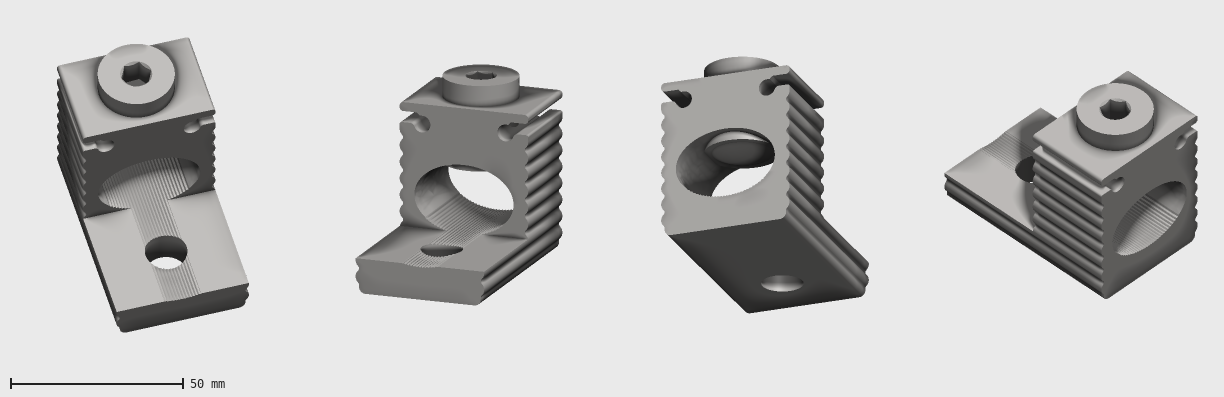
import cadquery as cq
import math

length = 64
width = 40.0
total_height = 54.35
block_length = 28.0
block_top = 48.05
foot_height = 10.5
half_width = width / 2
base_fillet = 2.0

rib_pitch = 5.0
rib_count = 7
rib_radius = 2.5
valley_radius = 0.95

flange_bottom = 45.4
flange_round = 1.1
slot_step_y = 14.65
slot_radius = 2.55
slot_center_y = 13.0
slot_center_z = 42.0
lip_top = slot_center_z
lip_round = 0.65
lip_inner_radius = 1.3

bore_half_width = 15.4
bore_half_height = 10.5
bore_center_z = 20.5
groove_pitch = 0.9
groove_count = 27
groove_depth = 0.25

screw_x = block_length / 2
screw_diameter = 22.45
screw_bottom = 28.4
tip_radius = 8.95
tip_height = 2.0
socket_radius = 4.7
socket_flats = 8.0
socket_depth = 8.0
socket_angle = 3.5

hole_x = 46.1
hole_diameter = 12.4

DIAGONAL = math.sqrt(0.5)


def add_ribs(outline):
    """Continue the outline from the lowest valley up to the middle of the partial top rib."""
    half_pitch = rib_pitch / 2
    center_distance = rib_radius + valley_radius
    center_offset = math.sqrt(center_distance**2 - half_pitch**2)
    rib_center_y = half_width - rib_radius
    valley_y = rib_center_y + center_offset - valley_radius
    joint_y = rib_center_y + center_offset * rib_radius / center_distance
    joint_drop = half_pitch * rib_radius / center_distance
    half_angle = math.asin(half_pitch / center_distance) / 2

    outline = (
        outline.lineTo(valley_y - base_fillet, 0)
        .threePointArc(
            (valley_y - base_fillet * (1 - DIAGONAL), base_fillet * (1 - DIAGONAL)),
            (valley_y, base_fillet),
        )
        .lineTo(valley_y, half_pitch)
    )
    outline = outline.threePointArc(
        (
            valley_y + valley_radius * (1 - math.cos(half_angle)),
            half_pitch + valley_radius * math.sin(half_angle),
        ),
        (joint_y, rib_pitch - joint_drop),
    )
    for rib in range(1, rib_count + 1):
        rib_z = rib * rib_pitch
        outline = outline.threePointArc((half_width, rib_z), (joint_y, rib_z + joint_drop))
        outline = outline.threePointArc(
            (valley_y, rib_z + half_pitch), (joint_y, rib_z + rib_pitch - joint_drop)
        )
    return outline.threePointArc(
        (
            rib_center_y + rib_radius * math.cos(half_angle),
            (rib_count + 1) * rib_pitch - rib_radius * math.sin(half_angle),
        ),
        (half_width, (rib_count + 1) * rib_pitch),
    )


def add_slot_and_flange(outline):
    """Continue the outline over the lip, around the keyhole slot and over the top flange."""
    lip_corner = lip_round * (1 - DIAGONAL)
    touch_distance = slot_radius + lip_inner_radius
    lip_center_z = lip_top - lip_inner_radius
    lip_drop = slot_center_z - lip_center_z
    lip_offset = math.sqrt(touch_distance**2 - lip_drop**2)
    lip_center_y = slot_center_y + lip_offset
    touch_y = slot_center_y + lip_offset * slot_radius / touch_distance
    touch_z = slot_center_z - lip_drop * slot_radius / touch_distance
    half_turn = math.acos(lip_drop / touch_distance) / 2

    slot_top = slot_center_z + slot_radius
    step_height = flange_bottom - slot_top
    flange_corner = flange_round * (1 - DIAGONAL)
    return (
        outline.lineTo(half_width, lip_top - lip_round)
        .threePointArc(
            (half_width - lip_corner, lip_top - lip_corner), (half_width - lip_round, lip_top)
        )
        .lineTo(lip_center_y, lip_top)
        .threePointArc(
            (
                lip_center_y - lip_inner_radius * math.sin(half_turn),
                lip_center_z + lip_inner_radius * math.cos(half_turn),
            ),
            (touch_y, touch_z),
        )
        .threePointArc((slot_center_y - slot_radius, slot_center_z), (slot_center_y, slot_top))
        .lineTo(slot_step_y - step_height, slot_top)
        .lineTo(slot_step_y, flange_bottom)
        .lineTo(half_width - flange_round, flange_bottom)
        .threePointArc(
            (half_width - flange_corner, flange_bottom + flange_corner),
            (half_width, flange_bottom + flange_round),
        )
        .lineTo(half_width, block_top - flange_round)
        .threePointArc(
            (half_width - flange_corner, block_top - flange_corner),
            (half_width - flange_round, block_top),
        )
        .lineTo(0, block_top)
    )


def make_body():
    outline = add_slot_and_flange(add_ribs(cq.Workplane("YZ").moveTo(0, 0)))
    body = outline.mirrorY().extrude(length)
    above_foot = cq.Workplane("XY").box(
        length - block_length, width, block_top - foot_height, centered=(False, True, False)
    )
    return body.cut(above_foot.translate((block_length, 0, foot_height)))


def bore_floor(y):
    """Height of the smooth bore's lower wall at a distance y from the middle plane."""
    return bore_center_z - bore_half_height * math.sqrt(1 - (y / bore_half_width) ** 2)


def make_bore():
    """Oval bore; V grooves of equal width are sunk square to the lower wall."""
    bore = (
        cq.Workplane("YZ")
        .center(0, bore_center_z)
        .ellipse(bore_half_width, bore_half_height)
        .extrude(length)
    )
    start_y = -groove_count * groove_pitch / 2
    grooves = cq.Workplane("YZ").moveTo(start_y, bore_floor(start_y))
    for groove in range(groove_count):
        left_y = start_y + groove * groove_pitch
        right_y = left_y + groove_pitch
        left_z = bore_floor(left_y)
        right_z = bore_floor(right_y)
        chord = math.hypot(groove_pitch, right_z - left_z)
        root_y = (left_y + right_y) / 2 + groove_depth * (right_z - left_z) / chord
        root_z = (left_z + right_z) / 2 - groove_depth * groove_pitch / chord
        grooves = grooves.lineTo(root_y, root_z).lineTo(right_y, right_z)
    return bore.union(grooves.close().extrude(length))


def make_screw():
    """Headless clamping screw with a domed tip."""
    profile = (
        cq.Workplane("XZ")
        .moveTo(0, screw_bottom - tip_height)
        .lineTo(0, total_height)
        .lineTo(screw_diameter / 2, total_height)
        .lineTo(screw_diameter / 2, screw_bottom)
        .lineTo(tip_radius, screw_bottom)
    )
    dome_radius = (tip_radius**2 + tip_height**2) / (2 * tip_height)
    dome_center_z = screw_bottom - tip_height + dome_radius
    half_angle = math.asin(tip_radius / dome_radius) / 2
    return (
        profile.threePointArc(
            (
                dome_radius * math.sin(half_angle),
                dome_center_z - dome_radius * math.cos(half_angle),
            ),
            (0, screw_bottom - tip_height),
        )
        .close()
        .revolve(360, (0, 0, 0), (0, 1, 0))
        .translate((screw_x, 0, 0))
    )


def make_socket():
    """Hexagon socket with a conical countersink, open at the top of the screw."""
    socket = (
        cq.Workplane("XY")
        .polygon(6, socket_flats, circumscribed=True)
        .extrude(-socket_depth)
        .rotate((0, 0, 0), (0, 0, 1), socket_angle)
    )
    countersink = cq.Workplane("XY").add(
        cq.Solid.makeCone(socket_radius, 0, socket_radius, dir=cq.Vector(0, 0, -1))
    )
    return socket.union(countersink).translate((screw_x, 0, total_height))


def make_mounting_hole():
    return cq.Workplane("XY").center(hole_x, 0).circle(hole_diameter / 2).extrude(foot_height)


body = make_body().cut(make_bore()).cut(make_mounting_hole())
result = body.union(make_screw()).cut(make_socket())